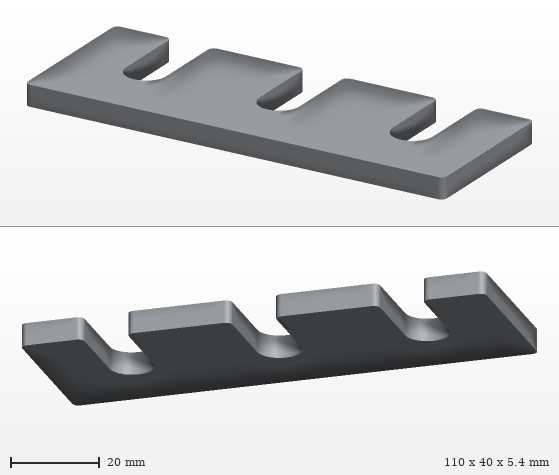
import cadquery as cq

length = 110.0
width = 40.0
thickness = 5.4
corner_radius = 1.5

slot_count = 3
slot_pitch = 35.0
slot_width = 10.5
slot_center_depth = 20.0

slot_radius = slot_width / 2
back_edge = width / 2
slot_center_y = back_edge - slot_center_depth


def slot_cutter(center_x):
    """Straight slot, open at the +Y edge, with a round inner end."""
    return (
        cq.Workplane("XY")
        .moveTo(center_x - slot_radius, back_edge)
        .lineTo(center_x - slot_radius, slot_center_y)
        .threePointArc(
            (center_x, slot_center_y - slot_radius),
            (center_x + slot_radius, slot_center_y),
        )
        .lineTo(center_x + slot_radius, back_edge)
        .close()
        .extrude(thickness)
    )


plate = cq.Workplane("XY").box(length, width, thickness, centered=(True, True, False))
for index in range(slot_count):
    slot_x = (index - (slot_count - 1) / 2) * slot_pitch
    plate = plate.cut(slot_cutter(slot_x))

long_edge_corners = plate.edges("|Z and (>Y or <Y)")
result = long_edge_corners.fillet(corner_radius)